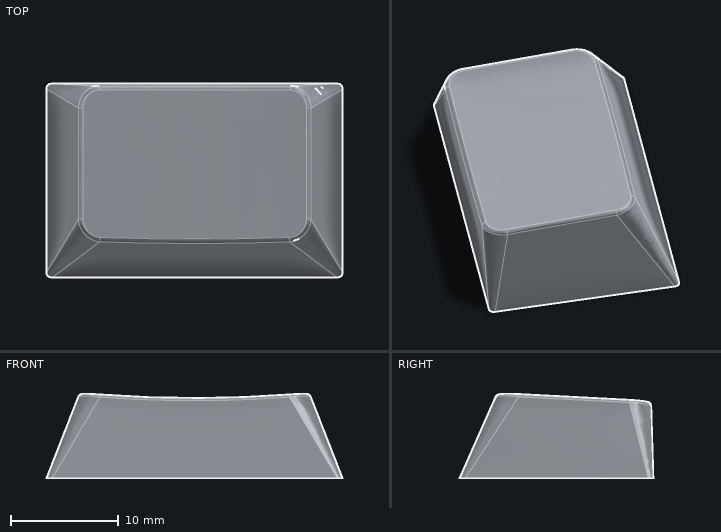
import cadquery as cq
import math

base_width = 27.62
base_depth = 18.1
base_corner = 0.5

top_tilt = 3.0
top_width = 21.4
top_front_inset = 3.55
top_back_inset = 0.22
top_corner = 2.13
top_front_height = 8.07

dish_radius = 116.0
dish_front_height = 7.5

edge_round = 0.41

front_y = top_front_inset - base_depth / 2
back_y = base_depth / 2 - top_back_inset
middle_y = (front_y + back_y) / 2
tilt = math.radians(top_tilt)
top_depth = (back_y - front_y) / math.cos(tilt)
half_drop = (back_y - front_y) / 2 * math.tan(tilt)


def tilted_plane(front_height):
    """Plane falling toward +Y, at the given height above the front edge of the upper outline."""
    return cq.Plane(
        origin=(0, middle_y, front_height - half_drop),
        xDir=(1, 0, 0),
        normal=(0, math.sin(tilt), math.cos(tilt)),
    )


def make_body():
    """Tapered block whose corners widen from the base to the top."""
    base_sketch = cq.Sketch().rect(base_width, base_depth).vertices().fillet(base_corner)
    top_sketch = cq.Sketch().rect(top_width, top_depth).vertices().fillet(top_corner)
    top_location = cq.Location(tilted_plane(top_front_height))
    sections = cq.Workplane().placeSketch(base_sketch, top_sketch.moved(top_location))
    return sections.loft(ruled=True)


def make_dish():
    """Long cylinder that hollows the top from front to back."""
    floor = tilted_plane(dish_front_height)
    axis_start = floor.toWorldCoords((0, -base_depth, dish_radius))
    axis = cq.Vector(0, math.cos(tilt), -math.sin(tilt))
    return cq.Solid.makeCylinder(dish_radius, 2 * base_depth, axis_start, axis)


body = make_body().cut(cq.Workplane(make_dish()))
result = body.faces(">Z").edges().fillet(edge_round)